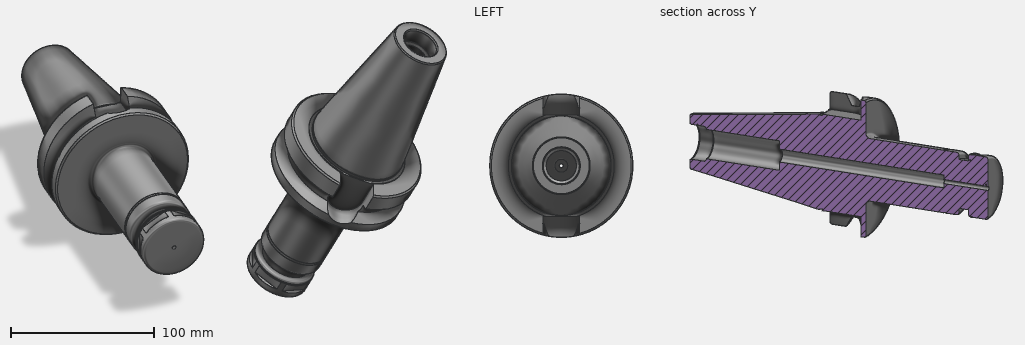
import cadquery as cq
import math

total_length = 236.8

taper_end_x = 101.4
taper_large_radius = 34.8
taper_rate = 7 / 48
shank_end_x = 102.8
neck_radius = 34.3
mouth_chamfer_length = 1.0
mouth_chamfer_rise = 0.7

flange_start_x = 104.2
flange_end_x = 140.0
flange_radius = 50.0
groove_radius = 42.5
groove_floor_start_x = 121.5
groove_floor_end_x = 127.9
groove_wall_angle = 60.0
rim_chamfer = 1.2
recess_radius = 37.0
recess_depth = 0.7

keyway_width = 25.5
keyway_end_x = 135.7
keyway_floor = 35.3

body_radius = 23.0
body_end_x = 213.8
body_root_fillet = 2.8
body_edge_fillet = 2.5
ring_groove_start_x = 201.3
ring_groove_width = 2.0
ring_groove_depth = 0.2
nut_neck_radius = 18.0

nut_start_x = 221.0
nut_radius = 23.0
nut_edge_fillet = 2.1
nut_groove_start_x = 223.0
nut_groove_width = 0.7
nut_groove_depth = 0.5
flat_count = 6
flat_distance = 20.8
flat_start_x = 224.0
flat_end_x = 230.9
flat_wall_angle = 18.0

counterbore_diameter = 25.0
counterbore_depth = 11.5
counterbore_step_length = 0.7
bore_mouth_rise = 0.7
bore_mouth_length = 1.2
thread_diameter = 24.0
drawbar_diameter = 21.0
thread_lead_in_length = 1.0
drawbar_depth = 71.0
coolant_diameter = 9.0
coolant_depth = 201.3
outlet_diameter = 2.5


def cylinder(start_x, end_x, radius):
    return cq.Workplane("YZ").workplane(offset=start_x).circle(radius).extrude(end_x - start_x)


def cone(start_x, start_radius, end_x, end_radius):
    half_section = [(start_x, 0), (start_x, start_radius), (end_x, end_radius), (end_x, 0)]
    return cq.Workplane("XY").polyline(half_section).close().revolve(360, (0, 0, 0), (1, 0, 0))


def ring(start_x, end_x, inner_radius, outer_radius):
    profile = cq.Workplane("YZ").workplane(offset=start_x).circle(outer_radius).circle(inner_radius)
    return profile.extrude(end_x - start_x)


def make_shank():
    chamfer_end_radius = taper_large_radius - taper_rate * (taper_end_x - mouth_chamfer_length)
    mouth = cone(0, chamfer_end_radius - mouth_chamfer_rise, mouth_chamfer_length, chamfer_end_radius)
    taper = cone(mouth_chamfer_length, chamfer_end_radius, taper_end_x, taper_large_radius)
    land = cylinder(taper_end_x, shank_end_x, taper_large_radius)
    neck = cylinder(shank_end_x, flange_start_x + recess_depth, neck_radius)
    return mouth.union(taper).union(land).union(neck)


def make_flange():
    wall_slope = math.tan(math.radians(groove_wall_angle))
    groove_start_x = groove_floor_start_x - (flange_radius - groove_radius) / wall_slope
    groove_end_x = groove_floor_end_x + (flange_radius - groove_radius) / wall_slope
    front_rim = cylinder(flange_start_x, groove_start_x, flange_radius).edges("<X").chamfer(rim_chamfer)
    front_wall = cone(groove_start_x, flange_radius, groove_floor_start_x, groove_radius)
    groove_floor = cylinder(groove_floor_start_x, groove_floor_end_x, groove_radius)
    rear_wall = cone(groove_floor_end_x, groove_radius, groove_end_x, flange_radius)
    rear_rim = cylinder(groove_end_x, flange_end_x, flange_radius).edges(">X").chamfer(rim_chamfer)
    flange = front_rim.union(front_wall).union(groove_floor).union(rear_wall).union(rear_rim)
    recess = ring(flange_start_x, flange_start_x + recess_depth, neck_radius, recess_radius)
    return flange.cut(recess)


def make_keyway():
    half_width = keyway_width / 2
    arc_centre_x = keyway_end_x - half_width
    return (
        cq.Workplane("XY", origin=(0, 0, keyway_floor))
        .moveTo(flange_start_x, -half_width)
        .lineTo(arc_centre_x, -half_width)
        .threePointArc((keyway_end_x, 0), (arc_centre_x, half_width))
        .lineTo(flange_start_x, half_width)
        .close()
        .extrude(flange_radius)
    )


def make_body():
    outer_root = body_radius + body_root_fillet
    arc_drop = body_root_fillet * math.sin(math.radians(45))
    arc_centre_x = flange_end_x + body_root_fillet
    root = (
        cq.Workplane("XY")
        .moveTo(flange_end_x, 0)
        .lineTo(flange_end_x, outer_root)
        .threePointArc((arc_centre_x - arc_drop, outer_root - arc_drop), (arc_centre_x, body_radius))
        .lineTo(arc_centre_x, 0)
        .close()
        .revolve(360, (0, 0, 0), (1, 0, 0))
    )
    barrel = cylinder(arc_centre_x, body_end_x, body_radius).edges(">X").fillet(body_edge_fillet)
    ring_groove_end_x = ring_groove_start_x + ring_groove_width
    groove = ring(ring_groove_start_x, ring_groove_end_x, body_radius - ring_groove_depth, flange_radius)
    nut_neck = cylinder(body_end_x, nut_start_x, nut_neck_radius)
    return root.union(barrel).cut(groove).union(nut_neck)


def make_nut():
    nut = cylinder(nut_start_x, total_length, nut_radius).edges().fillet(nut_edge_fillet)
    groove_end_x = nut_groove_start_x + nut_groove_width
    nut = nut.cut(ring(nut_groove_start_x, groove_end_x, nut_radius - nut_groove_depth, flange_radius))
    flat_wall_height = nut_radius - flat_distance
    flat_wall_lean = flat_wall_height * math.tan(math.radians(flat_wall_angle))
    flat_cutter = (
        cq.Workplane("XY")
        .moveTo(flat_start_x, -flat_distance)
        .lineTo(flat_end_x, -flat_distance)
        .lineTo(flat_end_x + flat_wall_lean, -nut_radius)
        .lineTo(flat_start_x, -nut_radius)
        .close()
        .extrude(nut_radius, both=True)
    )
    for index in range(flat_count):
        nut = nut.cut(flat_cutter.rotate((0, 0, 0), (1, 0, 0), index * 360 / flat_count))
    return nut


def make_bore():
    counterbore_radius = counterbore_diameter / 2
    mouth_radius = counterbore_radius + bore_mouth_rise
    mouth = cone(0, mouth_radius, bore_mouth_length, counterbore_radius)
    counterbore = cylinder(0, counterbore_depth, counterbore_radius)
    thread_start_x = counterbore_depth + counterbore_step_length
    thread_end_x = thread_start_x + thread_lead_in_length
    step = cone(counterbore_depth, counterbore_radius, thread_start_x, thread_diameter / 2)
    lead_in = cone(thread_start_x, thread_diameter / 2, thread_end_x, drawbar_diameter / 2)
    drawbar = cylinder(0, drawbar_depth, drawbar_diameter / 2)
    coolant = cylinder(0, coolant_depth, coolant_diameter / 2)
    outlet = cylinder(0, total_length, outlet_diameter / 2)
    entry = mouth.union(counterbore).union(step).union(lead_in)
    return entry.union(drawbar).union(coolant).union(outlet)


result = make_shank().union(make_flange()).union(make_body()).union(make_nut())
keyway = make_keyway()
result = result.cut(keyway).cut(keyway.rotate((0, 0, 0), (1, 0, 0), 180))
result = result.cut(make_bore())